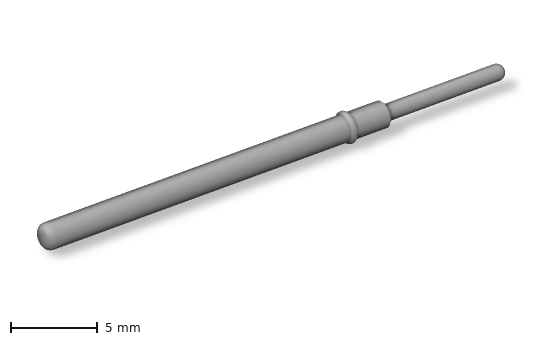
import cadquery as cq

total_length = 32.3
barrel_radius = 0.85
tail_fillet = 0.5
plunger_radius = 0.52
shoulder_from_tip = 8.27
shoulder_chamfer = 0.23
ring_radius = 1.0
ring_half_width = 0.25
ring_from_tip = 11.0

tip_y = total_length / 2
tail_y = -total_length / 2
shoulder_y = tip_y - shoulder_from_tip
ring_y = tip_y - ring_from_tip


def cylinder_along_y(radius, start_y, end_y):
    """Round bar on the Y axis between two stations."""
    bar = cq.Workplane("XZ", origin=(0, end_y, 0)).circle(radius)
    return bar.extrude(end_y - start_y)


barrel = cylinder_along_y(barrel_radius, tail_y, shoulder_y)
barrel = barrel.faces("<Y").edges().fillet(tail_fillet)
barrel = barrel.faces(">Y").edges().chamfer(shoulder_chamfer)

dome_y = tip_y - plunger_radius
plunger = cylinder_along_y(plunger_radius, ring_y, dome_y)
dome = cq.Workplane("XY", origin=(0, dome_y, 0)).sphere(plunger_radius)

bead_center_radius = ring_radius - ring_half_width
bead = (
    cq.Workplane("XY", origin=(0, ring_y, 0))
    .moveTo(0, -ring_half_width)
    .lineTo(bead_center_radius, -ring_half_width)
    .threePointArc((ring_radius, 0), (bead_center_radius, ring_half_width))
    .lineTo(0, ring_half_width)
    .close()
    .revolve(360, (0, 0, 0), (0, 1, 0))
)

result = barrel.union(plunger).union(dome).union(bead)